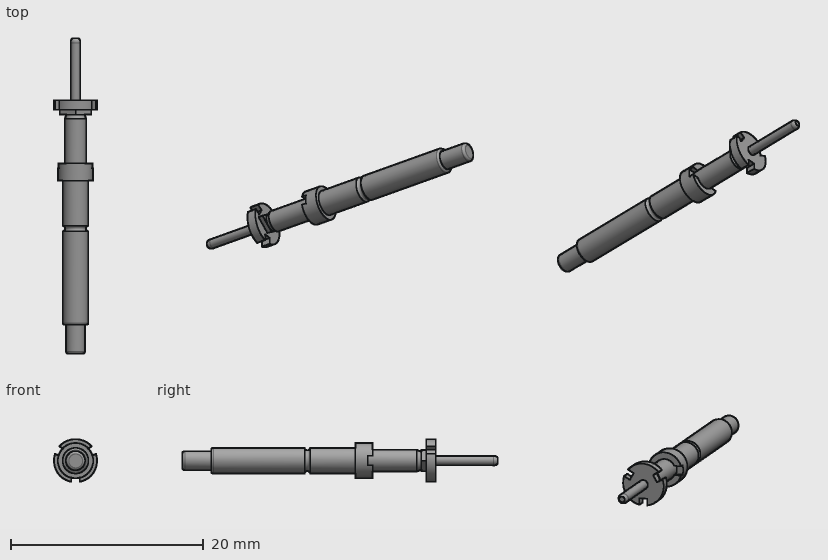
import cadquery as cq
import math


pin_radius = 0.5
pin_length = 6.45
pin_tip_length = 0.5
pin_tip_flat_radius = 0.3

flange_radius = 2.25
flange_thickness = 1.0
notch_count = 3
notch_width = 0.85
notch_floor_distance = 1.5
first_notch_angle = -90.0

diamond_half_width = 1.65
diamond_half_height = 1.12
diamond_thickness = 0.5

shaft_radius = 1.14
shaft_start_radius = 0.94
shaft_taper_length = 0.45
shaft_length = 5.05

collar_radius = 1.84
collar_length = 1.8
collar_slot_width = 1.0
collar_slot_depth = 0.5

barrel_radius = 1.34
barrel_length = 15.0
groove_offset = 4.7
groove_width = 0.58
groove_depth = 0.25
barrel_end_round = 0.22

plunger_radius = 1.0
plunger_length = 3.0
plunger_end_round = 0.28

flange_rear = -pin_length
flange_front = flange_rear - flange_thickness
shaft_rear = flange_front - diamond_thickness
collar_rear = shaft_rear - shaft_length
barrel_rear = collar_rear - collar_length
groove_rear = barrel_rear - groove_offset
groove_front = groove_rear - groove_width
barrel_front = barrel_rear - barrel_length
plunger_front = barrel_front - plunger_length


def cylinder(radius, start, length):
    """Solid cylinder on the Y axis, running from Y = start towards -Y."""
    return cq.Workplane("XZ", origin=(0, start, 0)).circle(radius).extrude(length)


def revolve_about_y(profile):
    """Close a half profile drawn in the XY plane and revolve it about Y."""
    return profile.close().revolve(360, (0, 0, 0), (0, 1, 0))


def round_corner(profile, radius, front, round_radius):
    """Run along the given radius to its front corner and round that corner."""
    centre_x = radius - round_radius
    centre_y = front + round_radius
    diagonal = round_radius * math.sqrt(0.5)
    return profile.lineTo(radius, centre_y).threePointArc(
        (centre_x + diagonal, centre_y - diagonal), (centre_x, front)
    )


def make_pin():
    """Pin with a domed tip, joined to the flange."""
    tip_mid_angle = math.radians(45)
    tip_rise = pin_radius - pin_tip_flat_radius
    tip_mid = (
        pin_tip_flat_radius + tip_rise * math.cos(tip_mid_angle),
        -pin_tip_length * (1 - math.sin(tip_mid_angle)),
    )
    profile = (
        cq.Workplane("XY")
        .moveTo(0, flange_rear)
        .lineTo(pin_radius, flange_rear)
        .lineTo(pin_radius, -pin_tip_length)
        .threePointArc(tip_mid, (pin_tip_flat_radius, 0))
        .lineTo(0, 0)
    )
    return revolve_about_y(profile)


def make_flange():
    """Flange disc with radial notches open to its rim."""
    flange = cylinder(flange_radius, flange_rear, flange_thickness)
    notch_length = flange_radius
    notch = cq.Workplane("XY").box(
        notch_length, flange_thickness, notch_width, centered=(False, False, True)
    ).translate((notch_floor_distance, flange_front, 0))
    for index in range(notch_count):
        angle = first_notch_angle + index * 360.0 / notch_count
        flange = flange.cut(notch.rotate((0, 0, 0), (0, 1, 0), -angle))
    return flange


def make_diamond_step():
    """Four-sided step with its corners on the X and Z axes."""
    corners = [
        (diamond_half_width, 0),
        (0, diamond_half_height),
        (-diamond_half_width, 0),
        (0, -diamond_half_height),
    ]
    plane = cq.Workplane("XZ", origin=(0, flange_front, 0))
    return plane.polyline(corners).close().extrude(diamond_thickness)


def make_shaft():
    """Shaft with a tapered start beside the diamond step."""
    profile = (
        cq.Workplane("XY")
        .moveTo(0, shaft_rear)
        .lineTo(shaft_start_radius, shaft_rear)
        .lineTo(shaft_radius, shaft_rear - shaft_taper_length)
        .lineTo(shaft_radius, collar_rear)
        .lineTo(0, collar_rear)
    )
    return revolve_about_y(profile)


def make_collar():
    """Stop collar slotted on both X sides down to the shaft diameter."""
    collar = cylinder(collar_radius, collar_rear, collar_length)
    slot = (
        cq.Workplane("XZ", origin=(0, collar_rear, 0))
        .rect(2 * collar_radius, collar_slot_width)
        .extrude(collar_slot_depth)
    )
    slot = slot.cut(cylinder(shaft_radius, collar_rear, collar_slot_depth))
    return collar.cut(slot)


def make_barrel_and_plunger():
    """Barrel with its crimp groove and rounded mouth, and the plunger."""
    groove_middle = (groove_rear + groove_front) / 2
    profile = (
        cq.Workplane("XY")
        .moveTo(0, barrel_rear)
        .lineTo(barrel_radius, barrel_rear)
        .lineTo(barrel_radius, groove_rear)
        .threePointArc(
            (barrel_radius - groove_depth, groove_middle), (barrel_radius, groove_front)
        )
    )
    profile = round_corner(profile, barrel_radius, barrel_front, barrel_end_round)
    profile = profile.lineTo(plunger_radius, barrel_front)
    profile = round_corner(profile, plunger_radius, plunger_front, plunger_end_round)
    return revolve_about_y(profile.lineTo(0, plunger_front))


result = (
    make_pin()
    .union(make_flange())
    .union(make_diamond_step())
    .union(make_shaft())
    .union(make_collar())
    .union(make_barrel_and_plunger())
)